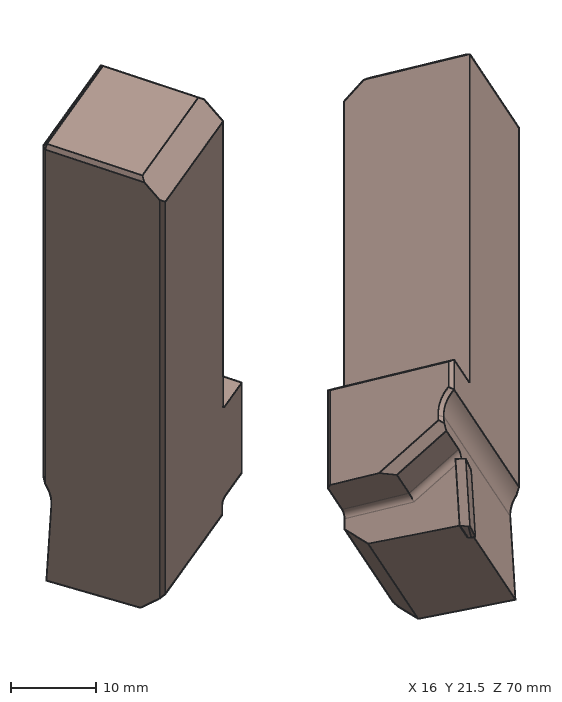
import cadquery as cq
import math

width = 15.97
height = 70.0
shank_depth = 16.0
flange_depth = 21.5
edge_chamfer = 0.5

end_chamfer = 3.0
tilt_angle = 3.0
tilt = math.tan(math.radians(tilt_angle))
bottom_corner_x = width - end_chamfer
bottom_corner_z = 1.2
groove_top_z = 16.6
groove_end_z = 13.0
groove_depth = 1.3

flange_top_z = 21.0
flange_bottom_z = 6.56
relief_top_z = 11.28
relief_angle = 37.0
relief_slope = math.tan(math.radians(relief_angle))
relief_chamfer = 1.1
shank_fillet = 0.4
blade_fillet = 0.8
blade_depth = 15.8

insert_width = 2.5
insert_length = 9.95
insert_thickness = 1.3
insert_side_rake = 0.3
insert_lead = 0.25
tip_land = 0.2
clearance_angle = 22.0
top_slope_angle = 15.0

overrun = 5.0


def front_face_x(z):
    """X of the tilted front face below the groove."""
    return groove_depth - (groove_end_z - z) * tilt


def xz_prism(points, y_start, y_end):
    """Prism between two Y positions over a polygon in X and Z."""
    outline = cq.Workplane("XZ", origin=(0, y_start, 0)).polyline(points).close()
    return outline.extrude(y_start - y_end)


def chamfer_edges(body, points, size):
    """Chamfer together the edges nearest to the given points."""
    edges = body.edges(cq.selectors.NearestToPointSelector(points[0]))
    for point in points[1:]:
        edges = edges.add(body.edges(cq.selectors.NearestToPointSelector(point)))
    return edges.chamfer(size)


def holder_blank():
    """Holder at full flange depth, with the chip groove in its -X face."""
    front_corner_z = bottom_corner_z - (bottom_corner_x - front_face_x(0)) * tilt
    return (
        cq.Workplane("XZ")
        .moveTo(front_face_x(front_corner_z), front_corner_z)
        .lineTo(groove_depth, groove_end_z)
        .tangentArcPoint((0, groove_top_z), relative=False)
        .lineTo(0, height)
        .lineTo(bottom_corner_x, height)
        .lineTo(width, height - end_chamfer)
        .lineTo(width, bottom_corner_z + end_chamfer)
        .lineTo(bottom_corner_x, bottom_corner_z)
        .close()
        .extrude(-flange_depth)
    )


def space_above_flange():
    """Space behind the shank, rounded where it meets the flange."""
    space = cq.Workplane("XY").box(
        width + 2 * overrun, flange_depth, height, centered=False)
    space = space.translate((-overrun, shank_depth, flange_top_z))
    return space.edges("<Y and <Z").fillet(shank_fillet)


def space_below_flange():
    """Space behind the blade: sloped at the front, then level to the +X side."""
    start_x = front_face_x(relief_top_z)
    level_x = start_x + (relief_top_z - flange_bottom_z) / relief_slope
    points = [
        (start_x - overrun, relief_top_z + overrun * relief_slope),
        (level_x, flange_bottom_z),
        (width + overrun, flange_bottom_z),
        (width + overrun, -overrun),
        (start_x - overrun, -overrun),
    ]
    space = xz_prism(points, blade_depth, flange_depth + overrun)
    ceiling = space.faces(cq.selectors.BoxSelector(
        (-overrun, 0, flange_bottom_z - blade_fillet),
        (width + overrun, flange_depth + overrun, height)))
    return ceiling.edges("<Y").fillet(blade_fillet)


def make_holder():
    """Holder with its flange and broken edges, before the insert seat is cut."""
    holder = holder_blank().cut(space_above_flange())
    shank_mid_z = (height + flange_top_z) / 2
    flange_mid_z = (flange_top_z + flange_bottom_z) / 2
    groove_mid_z = (groove_top_z + groove_end_z) / 2
    shank_edges = [
        (0, 0, shank_mid_z),
        (width, 0, height / 2),
        (bottom_corner_x / 2, 0, height),
        (0, shank_depth / 2, height),
        (bottom_corner_x / 2, shank_depth, height),
    ]
    flange_edges = [
        (width, flange_depth, flange_mid_z),
        (width / 2, flange_depth, flange_top_z),
        (0, flange_depth, (groove_top_z + flange_top_z) / 2),
        (groove_depth, flange_depth, groove_mid_z),
        (front_face_x(flange_bottom_z), flange_depth, flange_bottom_z),
    ]
    for edges in (shank_edges, flange_edges):
        holder = chamfer_edges(holder, edges, edge_chamfer)
    holder = holder.cut(space_below_flange())
    relief_mid_z = (relief_top_z + flange_bottom_z) / 2
    relief_mid_x = front_face_x(relief_top_z) + (relief_top_z - relief_mid_z) / relief_slope
    relief_mid = (relief_mid_x, flange_depth, relief_mid_z)
    holder = chamfer_edges(holder, [relief_mid], relief_chamfer)
    return holder


def make_insert():
    """Insert leaning with the front face, its tip at the lowest -X, +Y corner."""
    inner_y = shank_depth - insert_width
    plan = [
        (0, shank_depth),
        (insert_side_rake, inner_y),
        (insert_thickness, inner_y),
        (insert_thickness, shank_depth),
    ]
    insert = (
        cq.Workplane("XY", origin=(0, 0, -overrun))
        .polyline(plan)
        .close()
        .extrude(insert_length + 2 * overrun)
        .rotate((0, 0, 0), (0, 1, 0), tilt_angle)
    )
    far_x = overrun
    top_rise = far_x * math.tan(math.radians(top_slope_angle))
    clearance_rise = (far_x - tip_land) * math.tan(math.radians(clearance_angle))
    side = xz_prism(
        [
            (-far_x, 0),
            (tip_land, 0),
            (far_x, clearance_rise),
            (far_x, insert_length + top_rise),
            (-far_x, insert_length - top_rise),
        ],
        inner_y, shank_depth)
    lead = (
        cq.Workplane("YZ", origin=(-far_x, 0, 0))
        .polyline([
            (shank_depth, 0),
            (inner_y, insert_lead),
            (inner_y, -overrun),
            (shank_depth, -overrun),
        ])
        .close()
        .extrude(2 * far_x)
    )
    return insert.intersect(side).cut(lead)


insert = make_insert()
holder = make_holder().cut(insert)

result = cq.Compound.makeCompound([holder.val(), insert.val()])